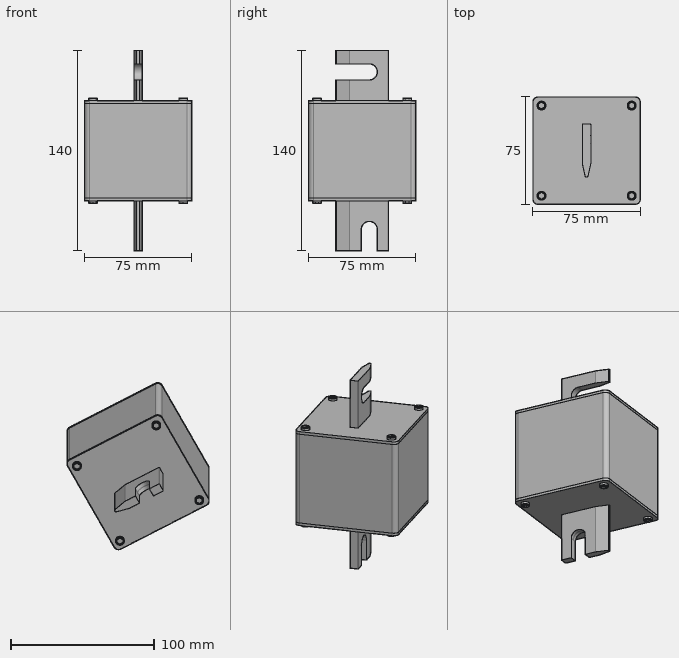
import cadquery as cq
import math

block_width = 75.0
block_height = 70.0
corner_radius = 3.5
plate_thickness = 2.0
housing_height = block_height - 2 * plate_thickness

total_height = 140.0
blade_height = (total_height - block_height) / 2
blade_depth = 37.0
blade_thickness = 6.0
blade_back_fillet = 0.4
bevel_length = 9.7
tip_width = 2.0
tip_bulge = 0.5
slot_width = 11.0
slot_center_y = 5.0
slot_center_from_end = 15.0

rod_pitch = 63.0
shank_diameter = 4.0
head_diameter = 6.2
head_height = 2.0
head_chamfer = 0.4
socket_across_flats = 4.0
socket_depth = 1.0
hexagon_sides = 6


def rounded_block(height, bottom_z):
    """Square block with rounded vertical edges and a close-fitting hole for each rod shank."""
    return (
        cq.Workplane("XY")
        .workplane(offset=bottom_z)
        .rect(block_width, block_width)
        .extrude(height)
        .edges("|Z")
        .fillet(corner_radius)
        .faces(">Z")
        .workplane(origin=(0, 0, 0))
        .rect(rod_pitch, rod_pitch, forConstruction=True)
        .vertices()
        .hole(shank_diameter)
    )


def make_blade():
    """Upright blade on top of the block, bevelled to a rounded tip on the -Y edge."""
    half_thickness = blade_thickness / 2
    half_tip = tip_width / 2
    back_y = blade_depth / 2
    tip_y = -blade_depth / 2
    bevel_y = tip_y + bevel_length
    return (
        cq.Workplane("XY")
        .workplane(offset=block_height / 2)
        .moveTo(half_thickness, back_y)
        .lineTo(half_thickness, bevel_y)
        .lineTo(half_tip, tip_y + tip_bulge)
        .threePointArc((0, tip_y), (-half_tip, tip_y + tip_bulge))
        .lineTo(-half_thickness, bevel_y)
        .lineTo(-half_thickness, back_y)
        .close()
        .extrude(blade_height)
        .edges("|Z and >Y")
        .fillet(blade_back_fillet)
    )


def make_slot(open_y, open_z):
    """Bolt slot through the blade, running open along the given Y and Z direction."""
    center_z = total_height / 2 - slot_center_from_end
    channel_length = blade_depth
    channel_y_size = channel_length if open_y else slot_width
    channel_z_size = channel_length if open_z else slot_width
    round_end = (
        cq.Workplane("YZ")
        .center(slot_center_y, center_z)
        .circle(slot_width / 2)
        .extrude(blade_thickness, both=True)
    )
    channel = (
        cq.Workplane("YZ")
        .center(slot_center_y + open_y * channel_length / 2, center_z + open_z * channel_length / 2)
        .rect(channel_y_size, channel_z_size)
        .extrude(blade_thickness, both=True)
    )
    return round_end.union(channel)


def make_end_plate(open_y, open_z):
    """Upper end plate with its slotted blade."""
    plate = rounded_block(plate_thickness, housing_height / 2)
    blade = make_blade().cut(make_slot(open_y, open_z))
    return plate.union(blade)


def make_rod_head():
    """Upper rod head with a chamfered rim and a hexagon socket whose corners point along Y."""
    socket_across_corners = socket_across_flats / math.cos(math.pi / hexagon_sides)
    return (
        cq.Workplane("XY")
        .workplane(offset=block_height / 2)
        .circle(head_diameter / 2)
        .extrude(head_height)
        .faces(">Z")
        .chamfer(head_chamfer)
        .faces(">Z")
        .workplane()
        .transformed(rotate=(0, 0, 90))
        .polygon(hexagon_sides, socket_across_corners)
        .cutBlind(-socket_depth)
    )


def make_tie_rod(x, y):
    """Rod spanning the whole block, with the same head at both ends."""
    shank = cq.Workplane("XY").circle(shank_diameter / 2).extrude(block_height / 2, both=True)
    head = make_rod_head()
    return shank.union(head).union(head.mirror("XY")).translate((x, y, 0))


housing = rounded_block(housing_height, -housing_height / 2)

upper_plate = make_end_plate(open_y=-1, open_z=0)
lower_plate = make_end_plate(open_y=0, open_z=1).mirror("XY")

rod_offset = rod_pitch / 2
tie_rods = []
for x in (-rod_offset, rod_offset):
    for y in (-rod_offset, rod_offset):
        tie_rods.append(make_tie_rod(x, y).val())

result = cq.Compound.makeCompound([housing.val(), upper_plate.val(), lower_plate.val(), *tie_rods])